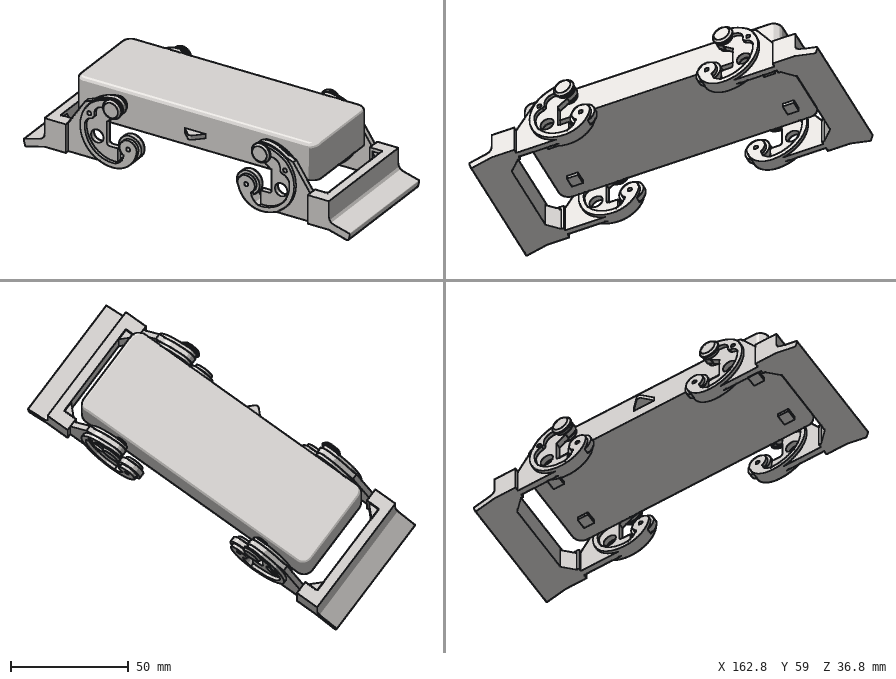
import cadquery as cq
import math

LENGTH = 162.8
WIDTH = 59.0
HEIGHT = 36.8

COVER_HALF_LENGTH = 60.3
COVER_HALF_WIDTH = 21.3
COVER_BOTTOM = 19.2
COVER_CORNER_RADIUS = 4.5
COVER_TOP_FILLET = 2.1
PAD_WIDTH = 5.2
PAD_LENGTH = 5.2
PAD_DEPTH = 1.6
PAD_X = 50.5
PAD_Y = 12.0

POINTER_HALF_WIDTH = 5.2
POINTER_BOTTOM = 24.9
POINTER_THICKNESS = 2.1
POINTER_TIP_RADIUS = 1.6

BAR_HALF_WIDTH = 28.2
BAR_OUTER_X = -71.0
BAR_RECESS_X = -66.6
BAR_INNER_X = -60.4
BAR_BOTTOM = 2.5
BAR_TOP = 16.3
GUSSET_LEG = 5.0
GUSSET_TOP = 14.7

TAB_ANGLE = math.radians(15)
TAB_THICKNESS = 3.7
TAB_TIP_RADIUS = 0.7
TAB_ROOT_FILLET = 3.3

HOOK_INNER_Y = 22.1
HOOK_OUTER_Y = 27.8
PLATE_INNER_Y = 23.6
PLATE_OUTER_Y = 26.2
HOOK_CENTRE = (-37.1, 18.0)
HOOK_OUTER_RADIUS = 16.3
HOOK_INNER_RADIUS = 14.0
HOOK_END_RADIUS = 4.2
PIVOT_CHEEK_RADIUS = 3.7
PIVOT = (HOOK_CENTRE[0], HOOK_CENTRE[1] + HOOK_OUTER_RADIUS - HOOK_END_RADIUS)
TIP = (-29.5, 12.7)
TIP_DISC_RADIUS = 5.7
TIP_HOLE_RADIUS = 1.0

SLOPE_TOP = (-52.0, 28.8)
PLATE_MEETS_HOOK = (-48.2, 30.3)
CHIN = (-36.5, 25.5)
NOTCH_X = -41.0
NOTCH_TOP = 22.1
NOTCH_BOTTOM = 10.7
NOTCH_FILLET = 1.3
LEDGE_END_X = -35.7

BAND_START_ANGLE = 175
BAND_END_ANGLE = 275
CHEEK_START_ANGLE = 137
CHEEK_TOP_MIDDLE = (-43.8, 32.4)
NECK_INNER_MIDDLE = (-33.0, 6.2)
NECK_INNER_TOP = (-31.9, 8.8)
SHOULDER_LOW_MIDDLE = (-49.5, 21.8)
SHOULDER_LOW = (-47.4, 22.8)
SHOULDER_X = -46.4
SHOULDER_STEP_BOTTOM = 23.8
SHOULDER_STEP_TOP = 25.4
SHOULDER_HIGH_MIDDLE = (-45.1, 28.2)
SHOULDER_HIGH = (-41.7, 29.3)

ARM_HOLE = (-46.0, 13.8)
ARM_HOLE_RADIUS = 3.1
RIVET_HOLE = (-48.9, 24.8)
RIVET_HOLE_RADIUS = 1.0

PIN_RADIUS = 2.6
PIN_EMBED = 2.6
HEAD_RADIUS = 4.5
HEAD_CHAMFER = 1.0


def on_circle(centre, radius, degrees):
    angle = math.radians(degrees)
    return (centre[0] + radius * math.cos(angle), centre[1] + radius * math.sin(angle))


def slab_plane(y_start):
    """XZ plane facing -Y, at the distance y_start on the -Y side."""
    return cq.Workplane("XZ", origin=(0, -y_start, 0))


def disc(centre, radius, y_start, y_end):
    return slab_plane(y_start).center(*centre).circle(radius).extrude(y_end - y_start)


def make_cover():
    body = (
        cq.Workplane("XY", origin=(0, 0, COVER_BOTTOM))
        .rect(2 * COVER_HALF_LENGTH, 2 * COVER_HALF_WIDTH)
        .extrude(HEIGHT - COVER_BOTTOM)
        .edges("|Z").fillet(COVER_CORNER_RADIUS)
        .faces(">Z").edges().fillet(COVER_TOP_FILLET)
    )
    pads = (
        cq.Workplane("XY", origin=(0, 0, COVER_BOTTOM))
        .rect(2 * PAD_X, 2 * PAD_Y, forConstruction=True).vertices()
        .rect(PAD_LENGTH, PAD_WIDTH)
        .extrude(-PAD_DEPTH)
    )
    return body.union(pads).union(make_pointer())


def make_pointer():
    sharp_tip_y = -COVER_HALF_WIDTH - POINTER_HALF_WIDTH
    return (
        cq.Workplane("XY", origin=(0, 0, POINTER_BOTTOM))
        .moveTo(-POINTER_HALF_WIDTH, -COVER_HALF_WIDTH)
        .lineTo(0, sharp_tip_y)
        .lineTo(POINTER_HALF_WIDTH, -COVER_HALF_WIDTH)
        .lineTo(0, 0)
        .close()
        .extrude(POINTER_THICKNESS)
        .edges("|Z and <Y").fillet(POINTER_TIP_RADIUS)
    )


def make_handle():
    """Bar with its finger tab, recessed on the inner side with a gusset in each corner."""
    cos_tab = math.cos(TAB_ANGLE)
    sin_tab = math.sin(TAB_ANGLE)
    low_centre_x = -LENGTH / 2 + TAB_TIP_RADIUS + (TAB_THICKNESS - 2 * TAB_TIP_RADIUS) * sin_tab
    low_x = low_centre_x - TAB_TIP_RADIUS * (cos_tab - sin_tab)
    low_z = TAB_TIP_RADIUS - TAB_TIP_RADIUS * (cos_tab + sin_tab)
    high_x = low_x - TAB_THICKNESS * sin_tab
    high_z = low_z + TAB_THICKNESS * cos_tab
    root_z = high_z + (BAR_OUTER_X - high_x) * math.tan(TAB_ANGLE)
    under_x = low_x + (BAR_BOTTOM - low_z) / math.tan(TAB_ANGLE)

    bar = (
        slab_plane(-BAR_HALF_WIDTH)
        .polyline([
            (BAR_INNER_X, BAR_BOTTOM),
            (BAR_INNER_X, BAR_TOP),
            (BAR_OUTER_X, BAR_TOP),
            (BAR_OUTER_X, root_z),
            (high_x, high_z),
            (low_x, low_z),
            (under_x, BAR_BOTTOM),
        ])
        .close()
        .extrude(2 * BAR_HALF_WIDTH)
    )
    bar = bar.edges(cq.NearestToPointSelector((BAR_OUTER_X, 0, root_z))).fillet(TAB_ROOT_FILLET)
    for corner_x, corner_z in [(high_x, high_z), (low_x, low_z)]:
        bar = bar.edges(cq.NearestToPointSelector((corner_x, 0, corner_z))).fillet(TAB_TIP_RADIUS)

    recess_depth = BAR_INNER_X - BAR_RECESS_X
    recess = (
        cq.Workplane("XY")
        .center(BAR_RECESS_X + recess_depth / 2, 0)
        .rect(recess_depth, 2 * HOOK_INNER_Y)
        .extrude(BAR_TOP)
    )
    handle = bar.cut(recess)
    for side in (-1, 1):
        corner_y = side * HOOK_INNER_Y
        gusset = (
            cq.Workplane("XY", origin=(0, 0, BAR_BOTTOM))
            .moveTo(BAR_RECESS_X, corner_y)
            .lineTo(BAR_RECESS_X + GUSSET_LEG, corner_y)
            .lineTo(BAR_RECESS_X, corner_y - side * GUSSET_LEG)
            .close()
            .extrude(GUSSET_TOP - BAR_BOTTOM)
        )
        handle = handle.union(gusset)
    return handle


def make_plate():
    """Thin arm plate from the bar to the pivot, with a disc of the same thickness at the hook tip."""
    thickness = PLATE_OUTER_Y - PLATE_INNER_Y
    plate = (
        slab_plane(PLATE_INNER_Y)
        .moveTo(BAR_INNER_X, BAR_BOTTOM)
        .lineTo(BAR_INNER_X, BAR_TOP)
        .lineTo(*SLOPE_TOP)
        .lineTo(*PLATE_MEETS_HOOK)
        .threePointArc(
            on_circle(HOOK_CENTRE, HOOK_OUTER_RADIUS, 110),
            on_circle(HOOK_CENTRE, HOOK_OUTER_RADIUS, 90),
        )
        .lineTo(*PIVOT)
        .lineTo(*CHIN)
        .lineTo(NOTCH_X, NOTCH_TOP)
        .lineTo(NOTCH_X, NOTCH_BOTTOM)
        .lineTo(LEDGE_END_X, NOTCH_BOTTOM)
        .lineTo(LEDGE_END_X, BAR_BOTTOM)
        .close()
        .extrude(thickness)
    )
    notch_corner = cq.NearestToPointSelector((NOTCH_X, -(PLATE_INNER_Y + PLATE_OUTER_Y) / 2, NOTCH_BOTTOM))
    plate = plate.edges(notch_corner).fillet(NOTCH_FILLET)
    plate = plate.union(disc(PIVOT, HOOK_END_RADIUS, PLATE_INNER_Y, PLATE_OUTER_Y))
    return plate.union(disc(TIP, TIP_DISC_RADIUS, PLATE_INNER_Y, PLATE_OUTER_Y))


def make_hook():
    """C-shaped rim from the pivot round to the tip."""
    cheek_start = on_circle(HOOK_CENTRE, HOOK_OUTER_RADIUS, CHEEK_START_ANGLE)
    left = on_circle(HOOK_CENTRE, HOOK_OUTER_RADIUS, 180)
    bottom = on_circle(HOOK_CENTRE, HOOK_OUTER_RADIUS, 270)

    tip_dx = TIP[0] - bottom[0]
    tip_dz = TIP[1] - bottom[1]
    neck_radius = (tip_dx**2 + tip_dz**2 - HOOK_END_RADIUS**2) / (2 * (tip_dz - HOOK_END_RADIUS))
    neck_centre = (bottom[0], bottom[1] + neck_radius)
    neck_end_angle = math.degrees(math.atan2(TIP[1] - neck_centre[1], tip_dx))
    neck_middle = on_circle(neck_centre, neck_radius, (neck_end_angle - 90) / 2)
    neck_end = on_circle(neck_centre, neck_radius, neck_end_angle)

    rim = (
        slab_plane(HOOK_INNER_Y)
        .moveTo(*PIVOT)
        .lineTo(PIVOT[0], PIVOT[1] + PIVOT_CHEEK_RADIUS)
        .threePointArc(CHEEK_TOP_MIDDLE, cheek_start)
        .threePointArc(left, bottom)
        .threePointArc(neck_middle, neck_end)
        .lineTo(*TIP)
        .lineTo(*NECK_INNER_TOP)
        .threePointArc(NECK_INNER_MIDDLE, on_circle(HOOK_CENTRE, HOOK_INNER_RADIUS, BAND_END_ANGLE))
        .threePointArc(
            on_circle(HOOK_CENTRE, HOOK_INNER_RADIUS, (BAND_START_ANGLE + BAND_END_ANGLE) / 2),
            on_circle(HOOK_CENTRE, HOOK_INNER_RADIUS, BAND_START_ANGLE),
        )
        .threePointArc(SHOULDER_LOW_MIDDLE, SHOULDER_LOW)
        .lineTo(SHOULDER_X, SHOULDER_STEP_BOTTOM)
        .lineTo(SHOULDER_X, SHOULDER_STEP_TOP)
        .threePointArc(SHOULDER_HIGH_MIDDLE, SHOULDER_HIGH)
        .close()
        .extrude(HOOK_OUTER_Y - HOOK_INNER_Y)
    )
    for end, radius in [(PIVOT, PIVOT_CHEEK_RADIUS), (TIP, HOOK_END_RADIUS)]:
        rim = rim.union(disc(end, radius, HOOK_INNER_Y, HOOK_OUTER_Y))
    return rim


def make_pin():
    """Pivot pin running from inside the cover to the chamfered head outside the arm."""
    shaft = disc(PIVOT, PIN_RADIUS, COVER_HALF_WIDTH - PIN_EMBED, HOOK_OUTER_Y)
    head = disc(PIVOT, HEAD_RADIUS, HOOK_OUTER_Y, WIDTH / 2)
    return shaft.union(head.faces("<Y").edges().chamfer(HEAD_CHAMFER))


def make_arm():
    """Plate and hook with their through holes, on the -Y side of the -X end, plus the pin."""
    arm = make_plate().union(make_hook())
    holes = [
        (TIP, TIP_HOLE_RADIUS),
        (ARM_HOLE, ARM_HOLE_RADIUS),
        (RIVET_HOLE, RIVET_HOLE_RADIUS),
    ]
    for centre, radius in holes:
        arm = arm.cut(disc(centre, radius, HOOK_INNER_Y, HOOK_OUTER_Y))
    return arm.union(make_pin())


arm = make_arm()
bail = make_handle().union(arm).union(arm.mirror("XZ"))
result = make_cover().union(bail).union(bail.mirror("YZ"))